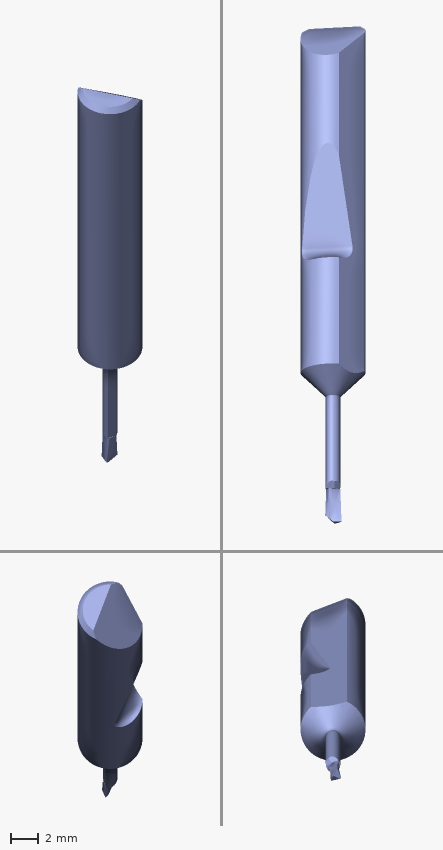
import cadquery as cq
import math

total_length = 38.1
shank_radius = 2.38
shank_bottom = 11.43
neck_radius = 0.55
neck_bottom = 2.55
cone_bottom = shank_bottom - (shank_radius - neck_radius)
top_chamfer = 0.4
outside = 2 * shank_radius

flat_distance = 2.0
flat_angle = 144.0

bevel_start_y = -0.6

notch_bottom = 19.6
notch_top = 28.35
notch_slope = 9.5
notch_corner_radius = 1.0

neck_flat_angle = -55.0
neck_flat_distance = neck_radius * math.cos(math.radians(90 + neck_flat_angle))
relief_height = 0.45
side_relief_start = 0.23
back_relief_start = 0.2
side_relief_angle = 135.0
back_relief_angle = 90.0

blade_root = [(-0.515, -0.15), (0.1, -0.515), (0.55, -0.15), (0.25, 0.23)]
blade_end = [(-0.63, -0.05), (-0.08, -0.65), (0.63, -0.135), (0.23, -0.08)]
nose_x = 0.05
nose_rise = 0.08
nose_chamfer_height = 0.6


def flat_cutter(distance, angle, bottom, top):
    """Block beyond a vertical plane at a distance from the Z axis."""
    block = cq.Workplane("XY").box(outside, 2 * outside, top - bottom, centered=(False, True, False))
    return block.translate((distance, 0, bottom)).rotate((0, 0, 0), (0, 0, 1), angle)


def make_shank_and_neck():
    profile = [
        (0, neck_bottom),
        (neck_radius, neck_bottom),
        (neck_radius, cone_bottom),
        (shank_radius, shank_bottom),
        (shank_radius, total_length - top_chamfer),
        (shank_radius - top_chamfer, total_length),
        (0, total_length),
    ]
    return cq.Workplane("XZ").polyline(profile).close().revolve(360, (0, 0), (0, 1))


def top_bevel_cutter():
    drop = outside - bevel_start_y
    profile = [(bevel_start_y, total_length), (outside, total_length), (outside, total_length - drop)]
    return cq.Workplane("YZ").polyline(profile).close().extrude(outside, both=True)


def notch_cutter():
    slope = math.tan(math.radians(notch_slope))
    floor_y = shank_radius - (notch_top - notch_bottom) * slope
    top_z = notch_top + (outside - shank_radius) / slope
    profile = [(floor_y, notch_bottom), (outside, notch_bottom), (outside, top_z)]
    notch = cq.Workplane("YZ").polyline(profile).close().extrude(outside, both=True)
    inner_edge = cq.selectors.NearestToPointSelector((0, floor_y, notch_bottom))
    return notch.edges("|X").edges(inner_edge).fillet(notch_corner_radius)


def neck_relief_cutter(start, angle):
    """Wedge under the neck end, rising outward from a start distance in the given direction."""
    profile = [
        (start, neck_bottom),
        (neck_radius, neck_bottom + relief_height),
        (neck_radius, neck_bottom),
    ]
    wedge = cq.Workplane("XZ").polyline(profile).close().extrude(outside, both=True)
    return wedge.rotate((0, 0, 0), (0, 0, 1), angle)


def make_blade():
    blade = (
        cq.Workplane("XY").polyline(blade_end).close()
        .workplane(offset=neck_bottom).polyline(blade_root).close()
        .loft(ruled=True)
    )
    left_x = blade_end[0][0]
    right_x = blade_end[2][0]
    nose = [
        (left_x, 0),
        (nose_x, nose_rise),
        (right_x, nose_chamfer_height),
        (right_x, 0),
    ]
    return blade.cut(cq.Workplane("XZ").polyline(nose).close().extrude(outside, both=True))


body = make_shank_and_neck()
body = body.cut(flat_cutter(flat_distance, flat_angle, cone_bottom, total_length))
body = body.cut(top_bevel_cutter())
body = body.cut(notch_cutter())
body = body.cut(flat_cutter(neck_flat_distance, neck_flat_angle, neck_bottom, cone_bottom))
body = body.cut(neck_relief_cutter(side_relief_start, side_relief_angle))
body = body.cut(neck_relief_cutter(back_relief_start, back_relief_angle))
result = body.union(make_blade())